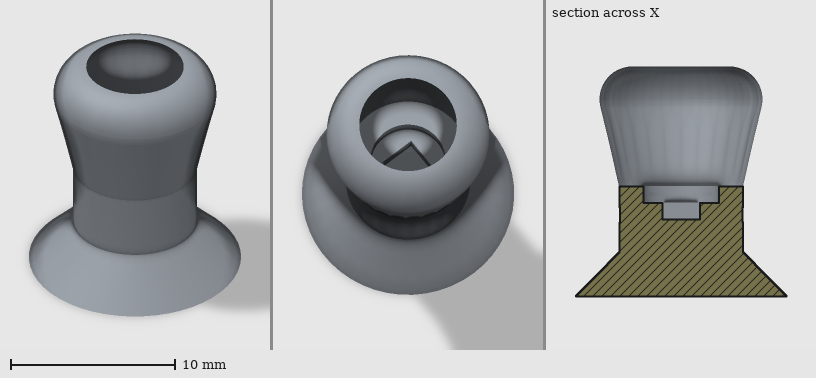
import cadquery as cq
import math

overall_height = 14.02
flange_radius = 12.95 / 2
neck_top_radius = 3.79
neck_bottom_radius = 3.795
neck_bottom = 2.72
neck_top = 6.72

mouth_radius = 2.975
crown_radius = 2.0
wall = 0.01

bore_diameter = 4.6
bore_depth = 1.0
socket_width = 2.24
socket_depth = 1.0
pinhole_diameter = 0.01
pinhole_depth = 0.5

crown_center_z = overall_height - crown_radius
center_dx = mouth_radius - neck_top_radius
center_dz = crown_center_z - neck_top
center_distance = math.hypot(center_dx, center_dz)
taper_angle = math.atan2(center_dx, center_dz) + math.asin(crown_radius / center_distance)


def crown_point(radius, angle):
    """Point (r, z) on a circle about the crown centre; angle is measured up from horizontal."""
    r = mouth_radius + radius * math.cos(angle)
    z = crown_center_z + radius * math.sin(angle)
    return r, z


def head_profile(profile, radius):
    """Add the taper and the crown arcs, split at the widest point, then close along the axis."""
    return (
        profile.lineTo(*crown_point(radius, -taper_angle))
        .threePointArc(crown_point(radius, -taper_angle / 2), crown_point(radius, 0))
        .threePointArc(crown_point(radius, math.pi / 4), crown_point(radius, math.pi / 2))
        .lineTo(0, crown_center_z + radius)
        .close()
    )


def revolve_profile(profile):
    """Turn a closed (r, z) profile about the Z axis."""
    return profile.revolve(360, (0, 0, 0), (0, 1, 0))


def outer_body():
    """Flared flange, barely tapered neck and rounded head as one solid."""
    profile = (
        cq.Workplane("XZ")
        .lineTo(flange_radius, 0)
        .lineTo(neck_bottom_radius, neck_bottom)
        .lineTo(neck_top_radius, neck_top)
    )
    return revolve_profile(head_profile(profile, crown_radius))


def head_cavity():
    """Hollow that follows the head at one wall thickness, with a flat floor at the neck."""
    floor_radius = neck_top_radius - wall / math.cos(taper_angle)
    profile = cq.Workplane("XZ").moveTo(0, neck_top).lineTo(floor_radius, neck_top)
    return revolve_profile(head_profile(profile, crown_radius - wall))


def mouth_opening():
    """Round opening through the flat top of the head."""
    return cq.Workplane("XY", origin=(0, 0, crown_center_z)).circle(mouth_radius).extrude(crown_radius)


def floor_recesses():
    """Round bore, then a square socket in its floor, then a pinhole on the axis."""
    bore_floor = neck_top - bore_depth
    socket_floor = bore_floor - socket_depth
    bore_plane = cq.Workplane("XY", origin=(0, 0, neck_top))
    socket_plane = cq.Workplane("XY", origin=(0, 0, bore_floor))
    pinhole_plane = cq.Workplane("XY", origin=(0, 0, socket_floor))
    bore = bore_plane.circle(bore_diameter / 2).extrude(-bore_depth)
    socket = socket_plane.rect(socket_width, socket_width).extrude(-socket_depth)
    pinhole = pinhole_plane.circle(pinhole_diameter / 2).extrude(-pinhole_depth)
    return bore.union(socket).union(pinhole)


result = outer_body().cut(head_cavity()).cut(mouth_opening()).cut(floor_recesses())